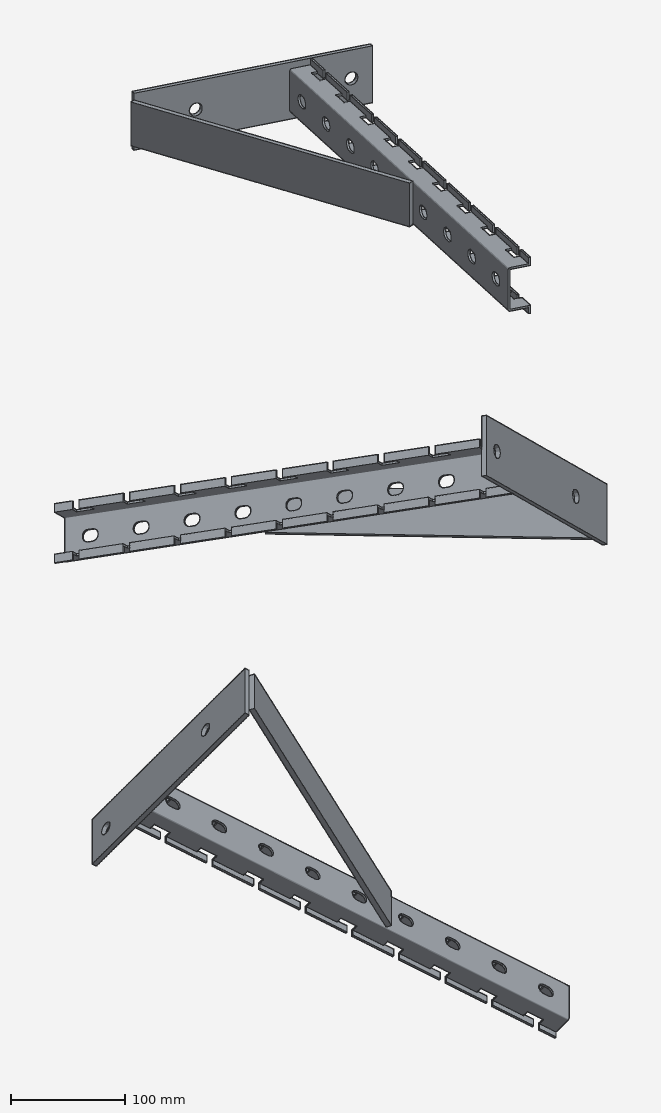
import cadquery as cq
import math

TOTAL_LENGTH = 454.8

PLATE_THICKNESS = 4.5
PLATE_LENGTH = 230.0
PLATE_WIDTH = 55.0
PLATE_HOLE_DIAMETER = 12.5
PLATE_HOLE_END_DISTANCE = 20.5
PLATE_HOLE_SPACING = 150.0

RAIL_LENGTH = TOTAL_LENGTH - PLATE_THICKNESS
RAIL_DEPTH = 22.0
RAIL_BODY_WIDTH = 42.5
RAIL_FLANGE_WIDTH = 54.0
RAIL_SHEET = 2.0
RAIL_BEND_RADIUS = 2.5
RAIL_SETBACK = 58.0

CUTOUT_COUNT = 9
CUTOUT_PITCH = RAIL_LENGTH / CUTOUT_COUNT
WEB_SLOT_LENGTH = 15.5
WEB_SLOT_WIDTH = 11.5
WINDOW_LENGTH = 17.5
WINDOW_DEPTH = 6.0
WINDOW_END = 32.5
NOTCH_LENGTH = 6.5

BRACE_THICKNESS = 5.0
BRACE_WIDTH = RAIL_BODY_WIDTH
BRACE_ANGLE = 30.6

PLATE_TOP_Y = PLATE_LENGTH
RAIL_TOP_Y = PLATE_TOP_Y - RAIL_SETBACK
RAIL_BOTTOM_Y = RAIL_TOP_Y - RAIL_DEPTH
RAIL_FLANGE_BOTTOM_Y = RAIL_TOP_Y - RAIL_SHEET


def make_plate():
    plate = cq.Workplane("XY").box(PLATE_THICKNESS, PLATE_LENGTH, PLATE_WIDTH, centered=(False, False, True))
    upper_hole_y = PLATE_TOP_Y - PLATE_HOLE_END_DISTANCE
    hole_centers = [(upper_hole_y, 0), (upper_hole_y - PLATE_HOLE_SPACING, 0)]
    holes = (
        cq.Workplane("YZ")
        .pushPoints(hole_centers)
        .circle(PLATE_HOLE_DIAMETER / 2)
        .extrude(PLATE_THICKNESS)
    )
    return plate.cut(holes)


def rail_block(width, bottom_y, top_y):
    """Full-length block of the rail, symmetric about Z = 0."""
    return (
        cq.Workplane("XY")
        .box(RAIL_LENGTH, top_y - bottom_y, width, centered=(False, False, True))
        .translate((PLATE_THICKNESS, bottom_y, 0))
    )


def make_rail_section():
    body = rail_block(RAIL_BODY_WIDTH, RAIL_BOTTOM_Y, RAIL_TOP_Y).edges("|X and <Y").fillet(RAIL_BEND_RADIUS)
    flanges = rail_block(RAIL_FLANGE_WIDTH, RAIL_FLANGE_BOTTOM_Y, RAIL_TOP_Y)
    channel = rail_block(RAIL_BODY_WIDTH - 2 * RAIL_SHEET, RAIL_BOTTOM_Y + RAIL_SHEET, RAIL_TOP_Y)
    inner_radius = RAIL_BEND_RADIUS - RAIL_SHEET
    channel = channel.edges("|X and <Y").fillet(inner_radius)
    return body.union(flanges).cut(channel)


def rail_cutout(index):
    """Web slot, side windows and flange notches of one pitch of the rail."""
    pitch_start_x = PLATE_THICKNESS + index * CUTOUT_PITCH
    slot = (
        cq.Workplane("XZ", origin=(pitch_start_x + CUTOUT_PITCH / 2, RAIL_BOTTOM_Y + RAIL_SHEET, 0))
        .slot2D(WEB_SLOT_LENGTH, WEB_SLOT_WIDTH)
        .extrude(RAIL_SHEET)
    )
    window_bottom_y = RAIL_FLANGE_BOTTOM_Y - WINDOW_DEPTH
    end_x = pitch_start_x + WINDOW_END
    window_and_notch = (
        cq.Workplane("XY", origin=(end_x, 0, 0))
        .moveTo(0, window_bottom_y)
        .lineTo(0, RAIL_TOP_Y)
        .lineTo(-NOTCH_LENGTH, RAIL_TOP_Y)
        .lineTo(-NOTCH_LENGTH, RAIL_FLANGE_BOTTOM_Y)
        .lineTo(-WINDOW_LENGTH, RAIL_FLANGE_BOTTOM_Y)
        .lineTo(-WINDOW_LENGTH, window_bottom_y)
        .close()
        .extrude(RAIL_FLANGE_WIDTH / 2, both=True)
    )
    return slot.union(window_and_notch)


def make_rail():
    rail = make_rail_section()
    for index in range(CUTOUT_COUNT):
        rail = rail.cut(rail_cutout(index))
    return rail


def make_brace():
    brace_length = RAIL_BOTTOM_Y / math.sin(math.radians(BRACE_ANGLE))
    return (
        cq.Workplane("XY")
        .box(brace_length, BRACE_THICKNESS, BRACE_WIDTH, centered=(False, False, True))
        .translate((0, -BRACE_THICKNESS, 0))
        .rotate((0, 0, 0), (0, 0, 1), BRACE_ANGLE)
        .translate((PLATE_THICKNESS, 0, 0))
    )


plate = make_plate()
rail = make_rail()
brace = make_brace()

result = cq.Compound.makeCompound([plate.val(), rail.val(), brace.val()])